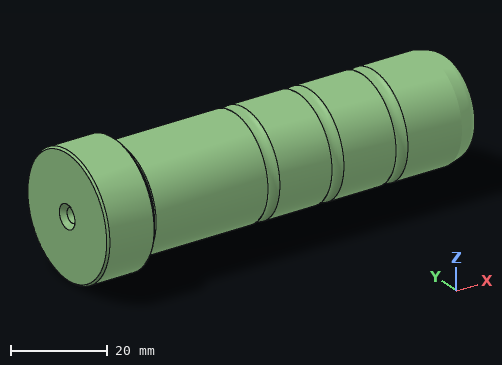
import cadquery as cq
import math

length = 95.0
head_radius = 15.0
head_length = 12.0
head_edge = 0.5
neck_radius = 12.0
neck_end = 13.7
shank_radius = 12.5

nose_length = 5.0
nose_angle = math.radians(15)
nose_arc = 3.0

first_groove = 43.0
groove_pitch = 16.0
groove_count = 3
groove_arc = 2.0
groove_depth = 0.7

countersink_radius = 2.85
pilot_radius = 1.7
countersink_angle = math.radians(45)
pilot_depth = 5.0
drill_tip_angle = math.radians(59)


def make_body():
    """Revolve the headed pin with its relief neck and rounded nose."""
    nose_start = length - nose_length
    arc_center_x = length - nose_arc
    tangent_x = arc_center_x + nose_arc * math.sin(nose_angle)
    tangent_radius = shank_radius - (tangent_x - nose_start) * math.tan(nose_angle)
    face_radius = tangent_radius - nose_arc * math.cos(nose_angle)
    middle_angle = (math.pi / 2 - nose_angle) / 2
    arc_middle = (
        arc_center_x + nose_arc * math.cos(middle_angle),
        face_radius + nose_arc * math.sin(middle_angle),
    )
    return (
        cq.Workplane("XY")
        .lineTo(0, head_radius - head_edge)
        .lineTo(head_edge, head_radius)
        .lineTo(head_length - head_edge, head_radius)
        .lineTo(head_length, head_radius - head_edge)
        .lineTo(head_length, neck_radius)
        .lineTo(neck_end, neck_radius)
        .lineTo(neck_end, shank_radius)
        .lineTo(nose_start, shank_radius)
        .lineTo(tangent_x, tangent_radius)
        .threePointArc(arc_middle, (length, face_radius))
        .lineTo(length, 0)
        .close()
        .revolve(360, (0, 0, 0), (1, 0, 0))
    )


def make_groove(x):
    """Ring of circular section that cuts one groove around the shank."""
    ring_radius = shank_radius - groove_depth + groove_arc
    return (
        cq.Workplane("XY")
        .center(x, ring_radius)
        .circle(groove_arc)
        .revolve(360, (0, -ring_radius, 0), (1, -ring_radius, 0))
    )


def make_center_hole():
    """Countersunk blind hole with a conical drill tip."""
    countersink_depth = (countersink_radius - pilot_radius) / math.tan(countersink_angle)
    tip_depth = pilot_depth + pilot_radius / math.tan(drill_tip_angle)
    return (
        cq.Workplane("XY")
        .lineTo(0, countersink_radius)
        .lineTo(countersink_depth, pilot_radius)
        .lineTo(pilot_depth, pilot_radius)
        .lineTo(tip_depth, 0)
        .close()
        .revolve(360, (0, 0, 0), (1, 0, 0))
    )


result = make_body().cut(make_center_hole())
for index in range(groove_count):
    result = result.cut(make_groove(first_groove + index * groove_pitch))